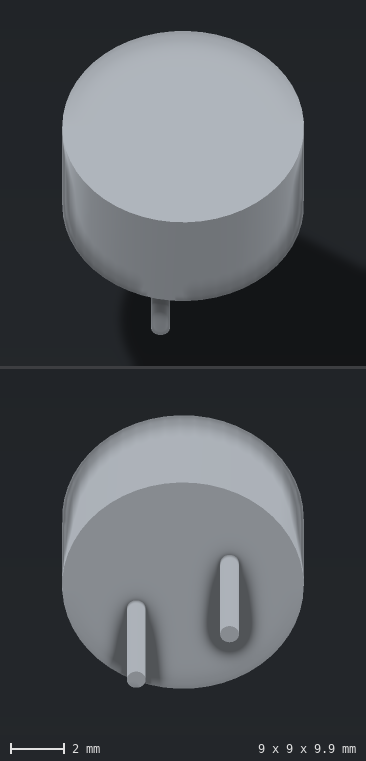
import cadquery as cq

total_height = 9.9
housing_diameter = 9.0
housing_height = 4.8
pin_diameter = 0.7
pin_spacing = 4.0
pin_length = total_height - housing_height


def make_housing():
    """Plain round housing standing on Z = 0."""
    return cq.Workplane("XY").circle(housing_diameter / 2).extrude(housing_height)


def make_pin(y):
    """Round pin hanging from the bottom face of the housing."""
    return cq.Workplane("XY").center(0, y).circle(pin_diameter / 2).extrude(-pin_length)


housing = make_housing()
pins = [make_pin(side * pin_spacing / 2) for side in (-1, 1)]

result = cq.Compound.makeCompound([housing.val(), *[pin.val() for pin in pins]])